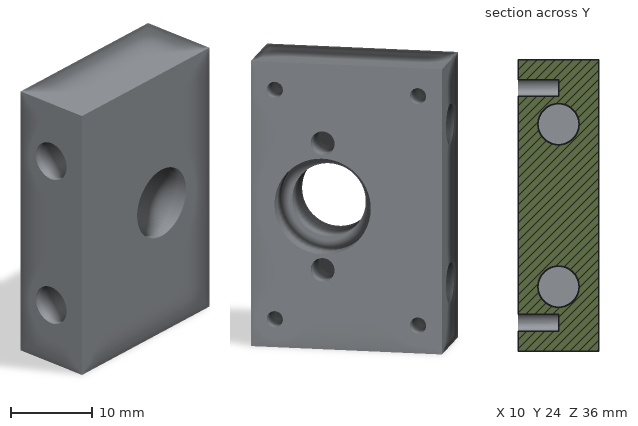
import cadquery as cq

thickness = 10.0
width = 24.0
height = 36.0

bore_y = 3.0
bore_diameter = 9.2
counterbore_diameter = 12.1
counterbore_depth = 4.0

port_spacing = 16.0
port_diameter = 3.0
port_depth = 5.0

mount_spacing_y = 18.0
mount_spacing_z = 28.95
mount_diameter = 2.0
mount_depth = 5.0

side_spacing = 20.0
side_diameter = 5.0
side_depth = 10.0


def hole_in_x_face(y, z, diameter, depth):
    """Cylinder running from the -X face into the block."""
    start = cq.Vector(-thickness / 2, y, z)
    return cq.Solid.makeCylinder(diameter / 2, depth, start, cq.Vector(1, 0, 0))


def hole_in_y_face(z, diameter, depth):
    """Cylinder running from the middle of the -Y face into the block."""
    start = cq.Vector(0, -width / 2, z)
    return cq.Solid.makeCylinder(diameter / 2, depth, start, cq.Vector(0, 1, 0))


result = cq.Workplane("XY").box(thickness, width, height)

result = result.cut(hole_in_x_face(bore_y, 0, bore_diameter, thickness))
result = result.cut(hole_in_x_face(bore_y, 0, counterbore_diameter, counterbore_depth))

for side in (-1, 1):
    port_z = side * port_spacing / 2
    side_z = side * side_spacing / 2
    result = result.cut(hole_in_x_face(bore_y, port_z, port_diameter, port_depth))
    result = result.cut(hole_in_y_face(side_z, side_diameter, side_depth))

    mount_z = side * mount_spacing_z / 2
    for mount_y in (-mount_spacing_y / 2, mount_spacing_y / 2):
        result = result.cut(hole_in_x_face(mount_y, mount_z, mount_diameter, mount_depth))